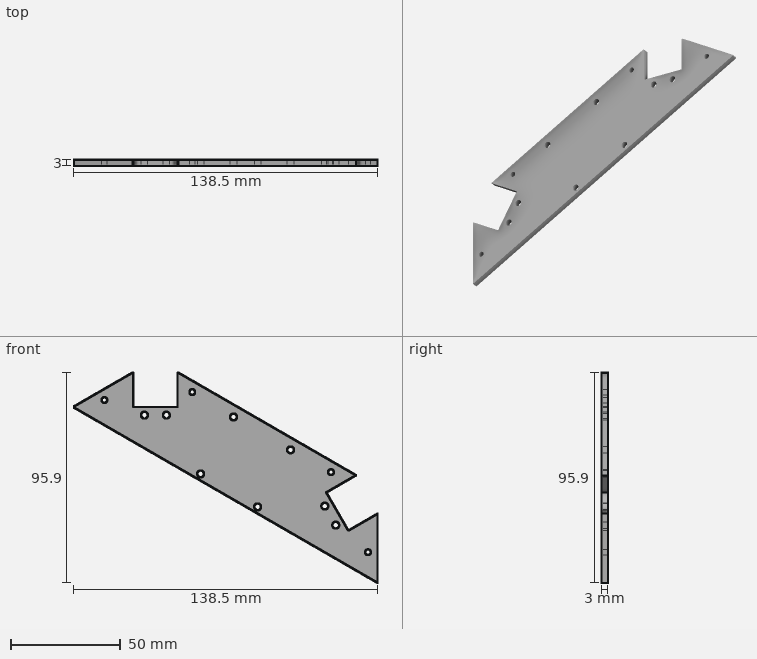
import math

import cadquery as cq

THICKNESS = 3.0
LONG_EDGE = 160.44
PLATE_HEIGHT = 37.63
BASE_ANGLE = 60.0
TILT_ANGLE = 30.0
TIP_CHAMFER = 0.5

NOTCH_WIDTH = 20.0
LEFT_NOTCH_DEPTH = 21.67
RIGHT_NOTCH_DEPTH = 21.35
RIGHT_NOTCH_SHIFT = 0.2

BOLT_DIAMETER = 3.0
BOLT_SQUARE = 30.0
BOLT_SQUARE_SHIFT = 0.45
BOLT_SQUARE_LOW_OFFSET = 2.7
NOTCH_HOLE_PITCH = 10.0
NOTCH_HOLE_SETBACK = 3.75
PIN_DIAMETER = 2.5
UPPER_PIN_SPACING = 73.0
UPPER_PIN_HEIGHT = 33.1
END_PIN_SPACING = 138.7
END_PIN_HEIGHT = 9.95

SHORT_EDGE = LONG_EDGE - 2 * PLATE_HEIGHT / math.tan(math.radians(BASE_ANGLE))
BISECTOR_ANGLE = 90.0 - BASE_ANGLE / 2

NOTCHES = [(-1, LEFT_NOTCH_DEPTH), (1, RIGHT_NOTCH_DEPTH)]

tilt = math.radians(TILT_ANGLE)
PLATE_PLANE = cq.Plane(
    origin=(0, 0, 0),
    xDir=(math.cos(tilt), 0, -math.sin(tilt)),
    normal=(0, -1, 0),
)


def notch_point(side, along, across):
    """Point in a notch (side -1 left, 1 right), measured from the plate's sharp upper corner.

    along runs inwards parallel to the corner's bisector, across runs from the notch's
    middle line towards the middle of the plate.
    """
    bisector = math.radians(BISECTOR_ANGLE)
    if side > 0:
        across -= RIGHT_NOTCH_SHIFT
    inset = along * math.cos(bisector) + across * math.sin(bisector)
    drop = along * math.sin(bisector) - across * math.cos(bisector)
    return side * (SHORT_EDGE / 2 - inset), PLATE_HEIGHT - drop


def notch_cutter(side, depth):
    """Rectangular block that starts at the sharp upper corner, which lies clear of the notch mouth."""
    half_width = NOTCH_WIDTH / 2
    corners = [(0, -half_width), (depth, -half_width), (depth, half_width), (0, half_width)]
    points = [notch_point(side, *corner) for corner in corners]
    return cq.Workplane(PLATE_PLANE).polyline(points).close().extrude(THICKNESS)


def bolt_points():
    """Square bolt pattern at mid-plate plus two bolts behind each notch floor."""
    low = BOLT_SQUARE_LOW_OFFSET
    columns = [BOLT_SQUARE_SHIFT + side * BOLT_SQUARE / 2 for side in (-1, 1)]
    points = [(x, y) for x in columns for y in (low, low + BOLT_SQUARE)]
    for side, depth in NOTCHES:
        for across in (-NOTCH_HOLE_PITCH / 2, NOTCH_HOLE_PITCH / 2):
            points.append(notch_point(side, depth + NOTCH_HOLE_SETBACK, across))
    return points


def pin_points():
    """Smaller holes beside the notches and in the pointed ends."""
    rows = [(UPPER_PIN_SPACING, UPPER_PIN_HEIGHT), (END_PIN_SPACING, END_PIN_HEIGHT)]
    return [(side * spacing / 2, height) for spacing, height in rows for side in (-1, 1)]


def hole_cutters(points, diameter):
    return cq.Workplane(PLATE_PLANE).pushPoints(points).circle(diameter / 2).extrude(THICKNESS)


def left_notch_mouth_points():
    """The two sharp points where the left notch walls meet the plate's outline."""
    half_width = NOTCH_WIDTH / 2
    mouth_depth = half_width / math.tan(math.radians(BISECTOR_ANGLE))
    return [notch_point(-1, mouth_depth, across) for across in (-half_width, half_width)]


def notched_plate():
    """Trapezoid with both notches; the left tip and left notch mouth are chamfered."""
    trapezoid = [
        (-LONG_EDGE / 2, 0),
        (LONG_EDGE / 2, 0),
        (SHORT_EDGE / 2, PLATE_HEIGHT),
        (-SHORT_EDGE / 2, PLATE_HEIGHT),
    ]
    plate = cq.Workplane(PLATE_PLANE).polyline(trapezoid).close().extrude(THICKNESS)
    for side, depth in NOTCHES:
        plate = plate.cut(notch_cutter(side, depth))
    for x, y in trapezoid[:1] + left_notch_mouth_points():
        corner = PLATE_PLANE.toWorldCoords((x, y, THICKNESS / 2))
        plate = plate.edges(cq.selectors.NearestToPointSelector(corner.toTuple())).chamfer(TIP_CHAMFER)
    return plate


result = (
    notched_plate()
    .cut(hole_cutters(bolt_points(), BOLT_DIAMETER))
    .cut(hole_cutters(pin_points(), PIN_DIAMETER))
)